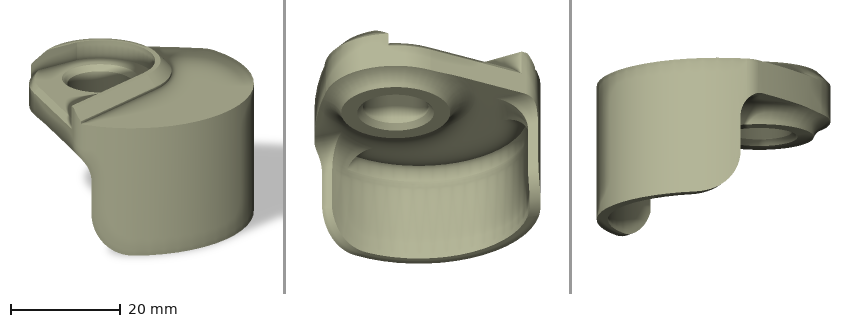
import cadquery as cq
import math

roof_z = 19.0
plate_top_z = 25.0
knob_top_z = 27.5
boss_bottom_z = 16.0
pocket_floor_z = 24.0

knob_radius = 13.0
disc_center = (6.8, 3.58)
disc_radius = 22.25
flank_radius = 87.0
flank_angle = 163.7
corner_radius = 4.0

rim_angle = 30.0
rim_chamfer = 2.0
pocket_radius = 10.0
pocket_end_angle = 184.0
pocket_end_slope = 0.257
floor_chamfer = 1.0
hole_radius = 6.0
hole_chamfer = 1.0

skirt_angle = 36.4
skirt_offset = 12.6
skirt_inner_radius = 20.25
skirt_corner_radius = 7.7
back_corner_tilt = 4.0
front_corner_tilt = 10.0
root_radius = 4.8
relief_radius = 20.0
relief_offset = 16.0
boss_radius = 9.6

reach = 60.0
diagonal = math.sqrt(0.5)


def polar(radius, angle, center=(0.0, 0.0)):
    """Point at a radius and an angle in degrees about a center."""
    turn = math.radians(angle)
    return (center[0] + radius * math.cos(turn), center[1] + radius * math.sin(turn))


def toward(start, target, distance):
    """Point at a distance from start on the ray through target."""
    scale = distance / math.dist(start, target)
    return tuple(a + scale * (b - a) for a, b in zip(start, target))


def midpoint(start, end):
    return tuple((a + b) / 2 for a, b in zip(start, end))


def circle_crossing(center_a, radius_a, center_b, radius_b):
    """Crossing of two circles that lies to the left of the ray from a to b."""
    gap = math.dist(center_a, center_b)
    along = (radius_a**2 - radius_b**2 + gap**2) / (2 * gap)
    aside = math.sqrt(radius_a**2 - along**2)
    ux = (center_b[0] - center_a[0]) / gap
    uy = (center_b[1] - center_a[1]) / gap
    return (center_a[0] + along * ux - aside * uy, center_a[1] + along * uy + aside * ux)


flank_center = polar(flank_radius - knob_radius, flank_angle - 180)
flank_end = polar(knob_radius, flank_angle)


def front_corner_points():
    """Start, middle and end of the rounded corner between the front edge and the disc."""
    front_y = -knob_radius
    center_y = front_y + corner_radius
    run = math.sqrt((disc_radius - corner_radius) ** 2 - (disc_center[1] - center_y) ** 2)
    center = (disc_center[0] + run, center_y)
    start = (center[0], front_y)
    end = toward(disc_center, center, disc_radius)
    return start, toward(center, midpoint(start, end), corner_radius), end


def back_corner_points():
    """Start, middle and end of the rounded corner between the disc and the flank arc."""
    center = circle_crossing(disc_center, disc_radius - corner_radius,
                             flank_center, flank_radius - corner_radius)
    start = toward(disc_center, center, disc_radius)
    end = toward(flank_center, center, flank_radius)
    return start, toward(center, midpoint(start, end), corner_radius), end


def outline_prism(height):
    """Full plan outline: knob, straight front edge, disc and flank arc."""
    front_start, front_mid, front_end = front_corner_points()
    back_start, back_mid, back_end = back_corner_points()
    flank_mid = toward(flank_center, midpoint(back_end, flank_end), flank_radius)
    return (
        cq.Workplane("XY")
        .moveTo(0, -knob_radius)
        .lineTo(*front_start)
        .threePointArc(front_mid, front_end)
        .threePointArc(polar(disc_radius, skirt_angle, disc_center), back_start)
        .threePointArc(back_mid, back_end)
        .threePointArc(flank_mid, flank_end)
        .threePointArc(polar(knob_radius, (flank_angle + 270) / 2), (0, -knob_radius))
        .close()
        .extrude(height)
    )


def upright_plane(angle):
    """Upright plane through the hole axis: local x points along the angle, local y is Z."""
    along = polar(1, angle)
    return cq.Plane(origin=(0, 0, 0), xDir=(along[0], along[1], 0),
                    normal=(along[1], -along[0], 0))


def knob():
    """Raised teardrop: a round end running into a straight wall, chamfered on top."""
    def section(angle):
        return (
            cq.Workplane(upright_plane(angle))
            .moveTo(0, plate_top_z)
            .lineTo(knob_radius, plate_top_z)
            .lineTo(knob_radius, knob_top_z - rim_chamfer)
            .lineTo(knob_radius - rim_chamfer, knob_top_z)
            .lineTo(0, knob_top_z)
            .close()
        )
    round_end = section(flank_angle).revolve(360, (0, 0), (0, 1))
    straight_wall = section(rim_angle).extrude(reach)

    start, middle, end = front_corner_points()
    front_limit = (
        cq.Workplane("XY")
        .moveTo(-reach, -knob_radius)
        .lineTo(*start)
        .threePointArc(middle, end)
        .lineTo(end[0], reach)
        .lineTo(-reach, reach)
        .close()
        .extrude(knob_top_z)
    )
    return round_end.union(straight_wall).intersect(front_limit)


def pocket():
    """Recess open toward the front, its floor chamfered along the open edge."""
    cut_bottom_z = pocket_floor_z - floor_chamfer
    wall_start = polar(pocket_radius, rim_angle)
    wall_end = (wall_start[0] + reach * math.sin(math.radians(rim_angle)),
                wall_start[1] - reach * math.cos(math.radians(rim_angle)))
    left_start = polar(pocket_radius, pocket_end_angle)
    left_end_x = left_start[0] + pocket_end_slope * (left_start[1] - wall_end[1])
    recess = (
        cq.Workplane("XY")
        .workplane(offset=cut_bottom_z)
        .moveTo(*left_start)
        .threePointArc(polar(pocket_radius, (rim_angle + pocket_end_angle) / 2), wall_start)
        .lineTo(*wall_end)
        .lineTo(left_end_x, wall_end[1])
        .close()
        .extrude(reach)
    )
    disk = cq.Workplane("XY").circle(knob_radius).extrude(pocket_floor_z)
    front_block = (
        cq.Workplane("XY")
        .rect(reach, 2 * knob_radius)
        .extrude(pocket_floor_z)
        .translate((reach / 2, 0, 0))
    )
    floor_body = disk.union(front_block).faces(">Z").chamfer(floor_chamfer)
    return recess.cut(floor_body)


def open_side_cut():
    """Clears everything on the knob side of the skirt's end plane, below the roof."""
    root_z = roof_z - root_radius
    root_mid = (skirt_offset - root_radius * (1 - diagonal), root_z + root_radius * diagonal)
    return (
        cq.Workplane(upright_plane(skirt_angle))
        .moveTo(-reach, 0)
        .lineTo(skirt_offset, 0)
        .lineTo(skirt_offset, root_z)
        .threePointArc(root_mid, (skirt_offset - root_radius, roof_z))
        .lineTo(-reach, roof_z)
        .close()
        .extrude(reach, both=True)
    )


def skirt_corner_cut(side, tilt):
    """Rounds the lower corner of one skirt end, tilted about the end's outer edge.

    Side is +1 for the end toward +Y and -1 for the end toward -Y.
    """
    facing = polar(1, skirt_angle)
    center_offset = disc_center[0] * facing[0] + disc_center[1] * facing[1]
    half_opening = math.degrees(math.acos((skirt_offset - center_offset) / disc_radius))
    outer_edge = polar(disc_radius, skirt_angle + side * half_opening, disc_center)

    cut_angle = skirt_angle - side * tilt
    cut_facing = polar(1, cut_angle)
    start = outer_edge[0] * cut_facing[0] + outer_edge[1] * cut_facing[1]
    inset = skirt_corner_radius * (1 - diagonal)
    return (
        cq.Workplane(upright_plane(cut_angle))
        .moveTo(start, 0)
        .lineTo(start + skirt_corner_radius, 0)
        .threePointArc((start + inset, inset), (start, skirt_corner_radius))
        .close()
        .extrude(-side * reach)
    )


def skirt_bore():
    """Round space inside the skirt, drawn in at the roof by the root fillet."""
    root_z = roof_z - root_radius
    roof_edge_r = skirt_inner_radius - root_radius
    return (
        cq.Workplane("XZ")
        .lineTo(skirt_inner_radius, 0)
        .lineTo(skirt_inner_radius, root_z)
        .threePointArc((roof_edge_r + root_radius * diagonal, root_z + root_radius * diagonal),
                       (roof_edge_r, roof_z))
        .lineTo(0, roof_z)
        .close()
        .revolve(360, (0, 0), (0, 1))
        .translate((*disc_center, 0))
    )


def root_relief():
    """Upright-walled cut into the skirt's root fillet, stopping short of the skirt's ends."""
    round_cut = cq.Workplane("XY").center(*disc_center).circle(relief_radius).extrude(roof_z)
    kept_side = (
        cq.Workplane(upright_plane(skirt_angle))
        .moveTo(relief_offset, 0)
        .lineTo(reach, 0)
        .lineTo(reach, roof_z)
        .lineTo(relief_offset, roof_z)
        .close()
        .extrude(reach, both=True)
    )
    return round_cut.intersect(kept_side)


def boss(outline):
    """Short boss around the hole, flaring out into the roof with a trimmed root fillet."""
    flare_center_r = boss_radius + root_radius
    flare_center_z = roof_z - root_radius

    def flare_r(z):
        return flare_center_r - math.sqrt(root_radius**2 - (z - flare_center_z) ** 2)

    middle_z = (boss_bottom_z + roof_z) / 2
    flared = (
        cq.Workplane("XZ")
        .moveTo(0, boss_bottom_z)
        .lineTo(flare_r(boss_bottom_z), boss_bottom_z)
        .threePointArc((flare_r(middle_z), middle_z), (flare_center_r, roof_z))
        .lineTo(flare_center_r, plate_top_z)
        .lineTo(0, plate_top_z)
        .close()
        .revolve(360, (0, 0), (0, 1))
    )
    return flared.intersect(outline)


def hole():
    """Through hole, chamfered at the pocket floor and at the boss face."""
    mouth_radius = hole_radius + hole_chamfer
    return (
        cq.Workplane("XZ")
        .moveTo(0, boss_bottom_z)
        .lineTo(mouth_radius, boss_bottom_z)
        .lineTo(hole_radius, boss_bottom_z + hole_chamfer)
        .lineTo(hole_radius, pocket_floor_z - hole_chamfer)
        .lineTo(mouth_radius, pocket_floor_z)
        .lineTo(0, pocket_floor_z)
        .close()
        .revolve(360, (0, 0), (0, 1))
    )


outline = outline_prism(plate_top_z)
body = outline.cut(open_side_cut()).cut(skirt_bore()).cut(root_relief())
body = body.cut(skirt_corner_cut(1, back_corner_tilt))
body = body.cut(skirt_corner_cut(-1, front_corner_tilt))
body = body.union(boss(outline)).union(knob())
result = body.cut(pocket()).cut(hole())